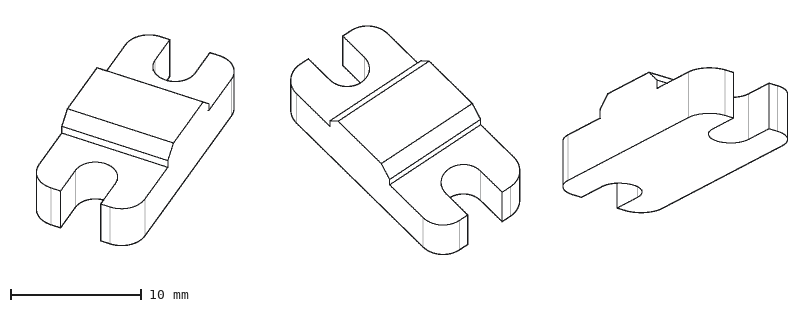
import cadquery as cq

length = 19.2
width = 9.0
height = 5.5
base_height = 3.8
corner_radius = 2.0
slot_width = 3.4
slot_depth = 4.3
block_length = 7.2
block_chamfer = 1.0


def base_plate():
    """Plate with rounded vertical corners, resting on Z = 0."""
    plate = cq.Workplane("XY").box(width, length, base_height, centered=(True, True, False))
    return plate.edges("|Z").fillet(corner_radius)


def raised_block():
    """Block across the full width, with its two long top edges chamfered."""
    block = cq.Workplane("XY").box(width, block_length, height, centered=(True, True, False))
    return block.faces(">Z").edges("|X").chamfer(block_chamfer)


def end_slot(side):
    """Cutter for a round-bottomed slot open at the end face; side is +1 or -1 along Y."""
    half_width = slot_width / 2
    end_y = side * length / 2
    bottom_y = side * (length / 2 - slot_depth)
    round_start_y = bottom_y + side * half_width
    return (
        cq.Workplane("XY")
        .moveTo(-half_width, end_y)
        .lineTo(-half_width, round_start_y)
        .threePointArc((0, bottom_y), (half_width, round_start_y))
        .lineTo(half_width, end_y)
        .close()
        .extrude(base_height)
    )


result = base_plate().union(raised_block())
for side in (1, -1):
    result = result.cut(end_slot(side))